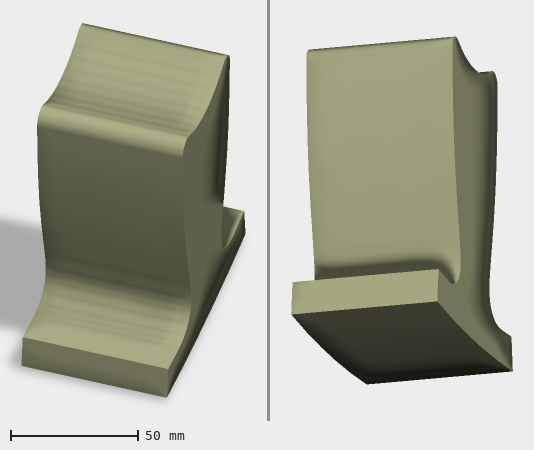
import cadquery as cq
import math

length = 60.0
height = 117.7
foot_half_width = 50.0

lobe_radius = 5.3
head_half_width = 30.0
saddle_low_z = 111.4
lobe_y = head_half_width - lobe_radius
lobe_z = height - lobe_radius

foot_corner_z = 2.1
foot_top_half_width = 48.2
foot_top_z = 15.9
blend_end_y = 34.1

flank_points = [
    (29.3, 92.3),
    (27.3, 70.6),
    (23.9, 51.8),
    (20.4, 36.2),
    (19.1, 27.7),
    (20.2, 21.4),
    (23.1, 18.0),
    (27.5, 15.7),
]

lobe_rise = lobe_z - saddle_low_z
saddle_radius = (lobe_y**2 + lobe_rise**2 - lobe_radius**2) / (2 * (lobe_radius + lobe_rise))
tangent_angle = math.asin(lobe_y / (saddle_radius + lobe_radius))
saddle_end = (
    lobe_y - lobe_radius * math.sin(tangent_angle),
    lobe_z + lobe_radius * math.cos(tangent_angle),
)
lobe_mid_angle = (math.pi / 2 + tangent_angle) / 2
lobe_mid = (
    lobe_y + lobe_radius * math.cos(lobe_mid_angle),
    lobe_z + lobe_radius * math.sin(lobe_mid_angle),
)

under_radius = (foot_half_width**2 + foot_corner_z**2) / (2 * foot_corner_z)
foot_top_radius = math.hypot(foot_top_half_width, under_radius - foot_top_z)


def foot_top_point(y):
    """Point on the upper face of the foot at distance y from the middle."""
    return (y, under_radius - math.sqrt(foot_top_radius**2 - y**2))


def mirror(point):
    """Reflect a (y, z) point across the middle plane."""
    return (-point[0], point[1])


head_side = (head_half_width, lobe_z)
foot_top_corner = (foot_top_half_width, foot_top_z)
foot_corner = (foot_half_width, foot_corner_z)
foot_top_mid_y = (blend_end_y + foot_top_half_width) / 2
foot_top_angle = math.asin(foot_top_half_width / foot_top_radius)
foot_top_outward = (math.cos(foot_top_angle), math.sin(foot_top_angle))
foot_top_inward = (-foot_top_outward[0], -foot_top_outward[1])

flank = [head_side] + flank_points
flank += [foot_top_point(blend_end_y), foot_top_point(foot_top_mid_y), foot_top_corner]
mirrored_flank = [mirror(point) for point in reversed(flank)]

profile = (
    cq.Workplane("YZ", origin=(-length / 2, 0, 0))
    .moveTo(*saddle_end)
    .threePointArc(lobe_mid, head_side)
    .spline(flank, tangents=[(0, -1), foot_top_outward])
    .lineTo(*foot_corner)
    .threePointArc((0, 0), mirror(foot_corner))
    .lineTo(*mirror(foot_top_corner))
    .spline(mirrored_flank, tangents=[mirror(foot_top_inward), (0, 1)])
    .threePointArc(mirror(lobe_mid), mirror(saddle_end))
    .threePointArc((0, saddle_low_z), saddle_end)
    .close()
)

result = profile.extrude(length)